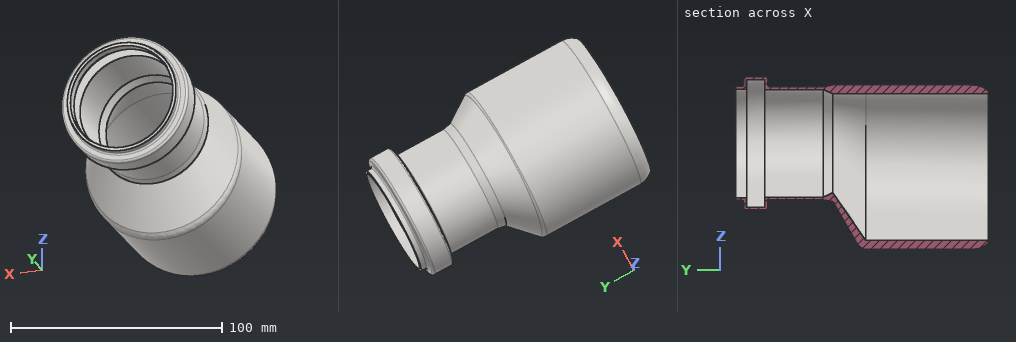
import cadquery as cq


large_outer_radius = 78.2 / 2
large_bore_radius = 69.2 / 2
large_length = 58.1
nose_length = 7.1
nose_depth = 2.7

socket_wall = 1.6
small_outer_radius = 54.0 / 2
lip_outer_radius = 54.4 / 2
bead_outer_radius = 63.5 / 2
overall_length = 119.7

neck_start = 73.7
neck_end = 78.1
bead_start = 104.4
bead_end = 116.1

bead_edge_radius = 1.2
bead_root_radius = 0.9

axis_offset = 11.3
neck_outer_radius = large_outer_radius - axis_offset
neck_bore_radius = large_bore_radius - axis_offset

shoulder_top_length = 0.7
shoulder_bottom_length = 3.9
shoulder_bottom_corner = 2.3
shoulder_bottom_rise = 2.2
shoulder_section_count = 6


def revolve_about_y(profile, axis_height=0):
    """Turn a (radius, y) outline around the Y-parallel axis at the given height."""
    turned = profile.close().revolve(360, (0, 0, 0), (0, 1, 0))
    return turned.translate((0, 0, axis_height))


def circle_between(top, bottom):
    """Circle with its diameter running between two (y, z) points in the YZ plane."""
    top_point = cq.Vector(0, *top)
    bottom_point = cq.Vector(0, *bottom)
    diameter = top_point - bottom_point
    normal = cq.Vector(1, 0, 0).cross(diameter) * -1
    return cq.Wire.makeCircle(diameter.Length / 2, (top_point + bottom_point) * 0.5, normal)


def circle_across(y, radius, height):
    """Circle square to the Y axis."""
    return circle_between((y, height + radius), (y, height - radius))


def along(start, end, t):
    """Point at fraction t of the straight line from start to end."""
    return tuple((1 - t) * a + t * b for a, b in zip(start, end))


def bend(start, corner, end, t):
    """Point on the quadratic curve that leaves start and reaches end along the corner."""
    return along(along(start, corner, t), along(corner, end, t), t)


def make_large_tube():
    """Solid large tube with its open end rounded inward."""
    nose_radius = (nose_depth**2 + nose_length**2) / (2 * nose_depth)
    profile = (
        cq.Workplane("XY")
        .lineTo(large_outer_radius - nose_depth, 0)
        .radiusArc((large_outer_radius, nose_length), -nose_radius)
        .lineTo(large_outer_radius, large_length)
        .lineTo(0, large_length)
    )
    return revolve_about_y(profile)


def make_reducer_cone():
    """Rounded shoulder followed by the straight oblique cone up to the neck."""
    rim_top = (large_length, large_outer_radius)
    rim_bottom = (large_length, -large_outer_radius)
    top_end = (large_length + shoulder_top_length, large_outer_radius)
    top_corner = (large_length + shoulder_top_length / 2, large_outer_radius)
    bottom_corner = (large_length + shoulder_bottom_corner, -large_outer_radius)
    bottom_end = (
        large_length + shoulder_bottom_length,
        -large_outer_radius + shoulder_bottom_rise,
    )
    sections = []
    for index in range(shoulder_section_count):
        t = index / (shoulder_section_count - 1)
        top = bend(rim_top, top_corner, top_end, t)
        bottom = bend(rim_bottom, bottom_corner, bottom_end, t)
        sections.append(circle_between(top, bottom))
    neck = circle_across(neck_start, neck_outer_radius, axis_offset)
    shoulder = cq.Workplane(cq.Solid.makeLoft(sections))
    cone = cq.Workplane(cq.Solid.makeLoft([sections[-1], neck], True))
    return shoulder.union(cone)


def make_small_tube():
    """Flared neck, small tube, rounded bead and end lip."""
    root_small = small_outer_radius + bead_root_radius
    root_lip = lip_outer_radius + bead_root_radius
    edge = bead_outer_radius - bead_edge_radius
    profile = (
        cq.Workplane("XY")
        .moveTo(0, neck_start)
        .lineTo(neck_outer_radius, neck_start)
        .lineTo(small_outer_radius, neck_end)
        .lineTo(small_outer_radius, bead_start - bead_root_radius)
        .radiusArc((root_small, bead_start), bead_root_radius)
        .lineTo(edge, bead_start)
        .radiusArc((bead_outer_radius, bead_start + bead_edge_radius), -bead_edge_radius)
        .lineTo(bead_outer_radius, bead_end - bead_edge_radius)
        .radiusArc((edge, bead_end), -bead_edge_radius)
        .lineTo(root_lip, bead_end)
        .radiusArc((lip_outer_radius, bead_end + bead_root_radius), bead_root_radius)
        .lineTo(lip_outer_radius, overall_length)
        .lineTo(0, overall_length)
    )
    return revolve_about_y(profile, axis_offset)


def make_large_bore():
    """Straight bore of the large tube."""
    return cq.Workplane("XZ").circle(large_bore_radius).extrude(-large_length)


def make_cone_bore():
    """Oblique cone joining the large bore to the neck bore."""
    rim = circle_across(large_length, large_bore_radius, 0)
    neck = circle_across(neck_start, neck_bore_radius, axis_offset)
    return cq.Workplane(cq.Solid.makeLoft([rim, neck], True))


def make_small_bore():
    """Flared neck bore, socket bore, seal groove inside the bead and lip bore."""
    socket_radius = small_outer_radius - socket_wall
    groove_radius = bead_outer_radius - socket_wall
    lip_bore_radius = lip_outer_radius - socket_wall
    groove_start = bead_start + socket_wall
    groove_end = bead_end - socket_wall
    profile = (
        cq.Workplane("XY")
        .moveTo(0, neck_start)
        .lineTo(neck_bore_radius, neck_start)
        .lineTo(socket_radius, neck_end)
        .lineTo(socket_radius, groove_start)
        .lineTo(groove_radius, groove_start)
        .lineTo(groove_radius, groove_end)
        .lineTo(lip_bore_radius, groove_end)
        .lineTo(lip_bore_radius, overall_length)
        .lineTo(0, overall_length)
    )
    return revolve_about_y(profile, axis_offset)


body = make_large_tube().union(make_reducer_cone()).union(make_small_tube())
passage = make_large_bore().union(make_cone_bore()).union(make_small_bore())
result = body.cut(passage)